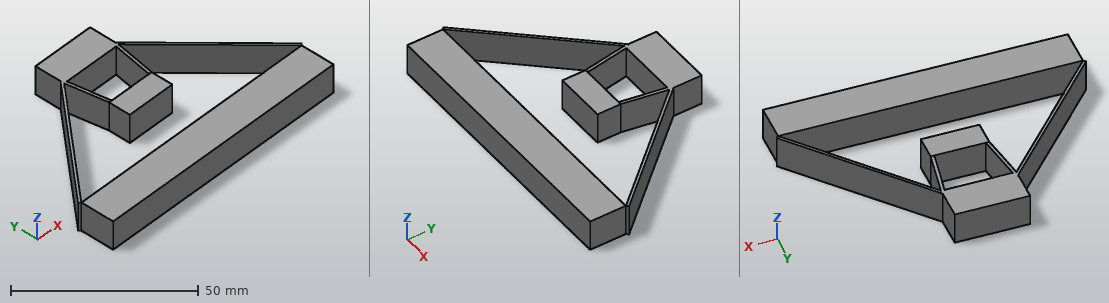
import cadquery as cq

overall_width = 88.4
overall_depth = 58.15
height = 10.0

bar_width = 87.05
bar_depth = 11.5

hub_width = 21.6
hub_depth = 10.4

pad_width = 16.8
pad_depth = 7.5
pad_gap = 14.05
short_arm_width = 1.1

hub_front = overall_depth - hub_depth
pad_back = hub_front - pad_gap
pad_front = pad_back - pad_depth


def block(width, depth, front):
    """Rectangular block centred on X, with its front face at Y = front."""
    return cq.Workplane("XY").box(width, depth, height, centered=(True, False, False)).translate((0, front, 0))


def long_arm(side):
    """Thin arm from the hub's front corner to the bar's rear corner, with a square-cut end."""
    bar_corner_x = bar_width / 2
    hub_corner_x = hub_width / 2
    run = bar_corner_x - hub_corner_x
    rise = hub_front - bar_depth
    slope = rise / run

    tip_x = overall_width / 2
    tip_y = bar_depth + (tip_x - bar_corner_x) / slope
    outer_y = tip_y + (tip_x - hub_corner_x) * slope

    points = [
        (side * hub_corner_x, hub_front),
        (side * bar_corner_x, bar_depth),
        (side * tip_x, tip_y),
        (side * hub_corner_x, outer_y),
    ]
    return cq.Workplane("XY").polyline(points).close().extrude(height)


def short_arm(side):
    """Thin slanted arm from the hub's front face to the pad's rear face."""
    hub_edge = hub_width / 2
    pad_edge = pad_width / 2
    points = [
        (side * hub_edge, hub_front),
        (side * pad_edge, pad_back),
        (side * (pad_edge - short_arm_width), pad_back),
        (side * (hub_edge - short_arm_width), hub_front),
    ]
    return cq.Workplane("XY").polyline(points).close().extrude(height)


def make_hub():
    """Hub block with its two long and two short arms, as one solid."""
    hub = block(hub_width, hub_depth, hub_front)
    for side in (-1, 1):
        hub = hub.union(long_arm(side)).union(short_arm(side))
    return hub


def make_bar():
    """Long bar that meets the ends of the long arms at its rear corners."""
    return block(bar_width, bar_depth, 0)


def make_pad():
    """Small block carried on the ends of the short arms."""
    return block(pad_width, pad_depth, pad_front)


hub = make_hub()
bar = make_bar()
pad = make_pad()

result = cq.Compound.makeCompound([*hub.solids().vals(), bar.val(), pad.val()])